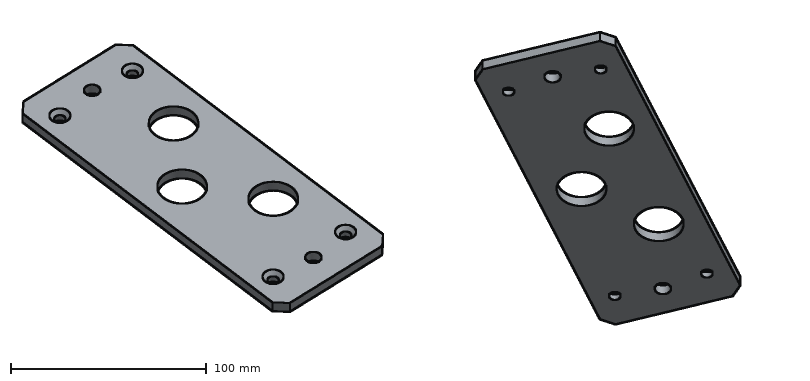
import cadquery as cq

length = 203.2
width = 76.2
thickness = 6.3
corner_chamfer = 6.3

opening_diameter = 25.5
opening_offset_x = 38.0
opening_offset_y = 14.2
opening_points = [
    (-opening_offset_x, opening_offset_y),
    (opening_offset_x, opening_offset_y),
    (0, -opening_offset_y),
]

screw_diameter = 5.9
countersink_diameter = 10.8
countersink_angle = 90
screw_spacing_x = 162.5
screw_spacing_y = 50.0

end_hole_diameter = 8.3
end_hole_spacing = 168.7

plate = (
    cq.Workplane("XY")
    .box(length, width, thickness, centered=(True, True, False))
    .edges("|Z")
    .chamfer(corner_chamfer)
)

plate = (
    plate.faces(">Z").workplane(origin=(0, 0, 0))
    .pushPoints(opening_points)
    .hole(opening_diameter)
)

plate = (
    plate.faces(">Z").workplane(origin=(0, 0, 0))
    .rarray(screw_spacing_x, screw_spacing_y, 2, 2)
    .cskHole(screw_diameter, countersink_diameter, countersink_angle)
)

result = (
    plate.faces(">Z").workplane(origin=(0, 0, 0))
    .rarray(end_hole_spacing, 2, 2, 1)
    .hole(end_hole_diameter)
)